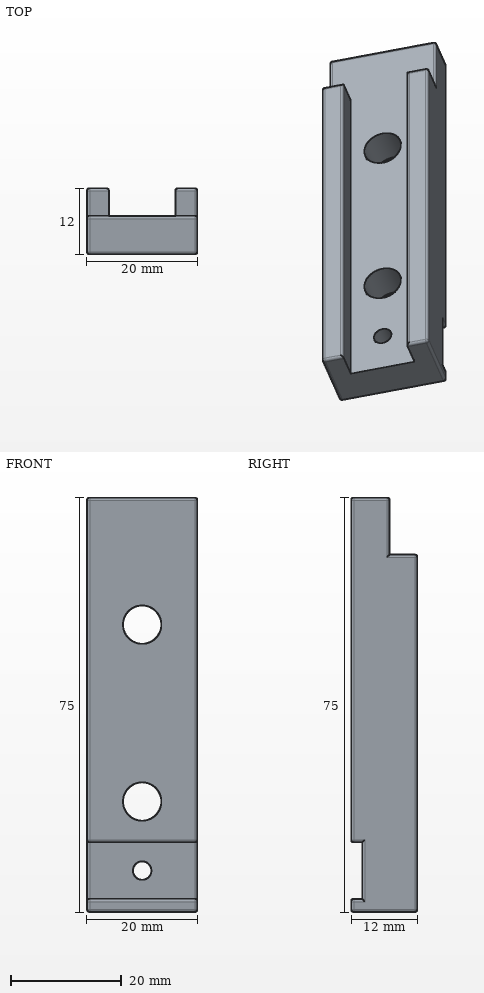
import cadquery as cq

WIDTH = 20.0
DEPTH = 12.0
HEIGHT = 75.0

PLATE_DEPTH = 7.0
LEG_WIDTH = 4.0
LEG_TOP = 64.7
CHANNEL_WIDTH = WIDTH - 2 * LEG_WIDTH

RECESS_DEPTH = 2.0
RECESS_BOTTOM = 2.4
RECESS_TOP = 12.6

MOUNT_DIAMETER = 6.9
MOUNT_HEIGHTS = (20.0, 52.0)
PIN_DIAMETER = 3.3
PIN_HEIGHT = (RECESS_BOTTOM + RECESS_TOP) / 2

EDGE_RADIUS = 0.5


def make_body():
    """Side profile in Y and Z, extruded across the full width."""
    profile = [
        (0, 0),
        (DEPTH, 0),
        (DEPTH, LEG_TOP),
        (PLATE_DEPTH, LEG_TOP),
        (PLATE_DEPTH, HEIGHT),
        (0, HEIGHT),
        (0, RECESS_TOP),
        (RECESS_DEPTH, RECESS_TOP),
        (RECESS_DEPTH, RECESS_BOTTOM),
        (0, RECESS_BOTTOM),
    ]
    return cq.Workplane("YZ").polyline(profile).close().extrude(WIDTH / 2, both=True)


def cut_channel(body):
    """Channel along the full height of the back that leaves a leg on each side."""
    channel = cq.Workplane("XY", origin=(0, PLATE_DEPTH, 0)).box(
        CHANNEL_WIDTH, DEPTH - PLATE_DEPTH, HEIGHT, centered=(True, False, False)
    )
    return body.cut(channel)


def round_edges(body):
    """Round the side outlines, the convex edges along X and the rear inner edges of the legs."""
    leg_centre = (WIDTH - LEG_WIDTH) / 2
    sharp_edge_points = [
        (0, RECESS_DEPTH, RECESS_TOP),
        (0, RECESS_DEPTH, RECESS_BOTTOM),
        (-leg_centre, PLATE_DEPTH, LEG_TOP),
        (leg_centre, PLATE_DEPTH, LEG_TOP),
        (0, PLATE_DEPTH, 0),
    ]
    edges_along_x = cq.selectors.StringSyntaxSelector("|X")
    for point in sharp_edge_points:
        edges_along_x = edges_along_x - cq.selectors.NearestToPointSelector(point)

    side_outlines = body.faces("<X or >X").edges().vals()
    rear_leg_edges = body.faces(">Y").edges("|Z").vals()
    chosen_edges = body.edges(edges_along_x).vals() + side_outlines + rear_leg_edges
    unique_edges = list(dict.fromkeys(chosen_edges))
    return body.newObject(unique_edges).fillet(EDGE_RADIUS)


def cut_hole(body, diameter, height):
    """Round hole through the part from front to back on the centreline."""
    hole = cq.Workplane("XZ", origin=(0, 0, height)).circle(diameter / 2).extrude(-DEPTH)
    return body.cut(hole)


result = round_edges(cut_channel(make_body()))
for mount_height in MOUNT_HEIGHTS:
    result = cut_hole(result, MOUNT_DIAMETER, mount_height)
result = cut_hole(result, PIN_DIAMETER, PIN_HEIGHT)